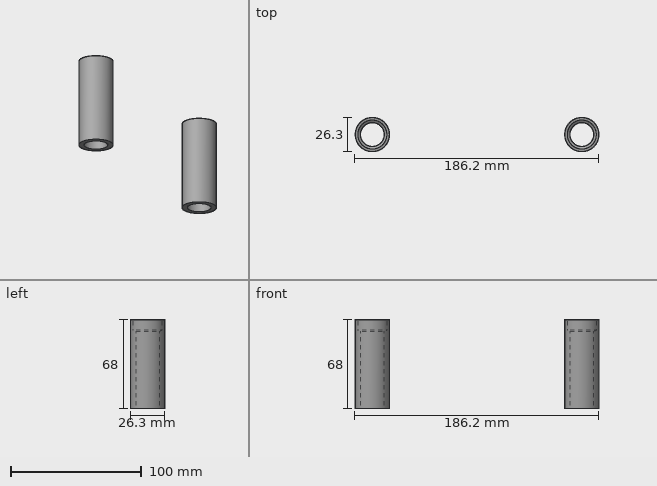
import cadquery as cq

overall_length = 186.2
sleeve_diameter = 26.3
sleeve_height = 68.0
sleeve_spacing = overall_length - sleeve_diameter

bore_diameter = 18.0
counterbore_diameter = 22.2
counterbore_depth = 8.0
taper_height = 1.2


def make_sleeve(center_x):
    """Upright sleeve whose wall section is revolved about its vertical axis."""
    outer_radius = sleeve_diameter / 2
    bore_radius = bore_diameter / 2
    counterbore_radius = counterbore_diameter / 2
    taper_top = sleeve_height - counterbore_depth
    taper_bottom = taper_top - taper_height
    wall_section = [
        (bore_radius, 0),
        (outer_radius, 0),
        (outer_radius, sleeve_height),
        (counterbore_radius, sleeve_height),
        (counterbore_radius, taper_top),
        (bore_radius, taper_bottom),
    ]
    sleeve = cq.Workplane("XZ").polyline(wall_section).close().revolve(360, (0, 0), (0, 1))
    return sleeve.translate((center_x, 0, 0))


sleeves = [make_sleeve(side * sleeve_spacing / 2) for side in (-1, 1)]

result = cq.Compound.makeCompound([sleeve.val() for sleeve in sleeves])